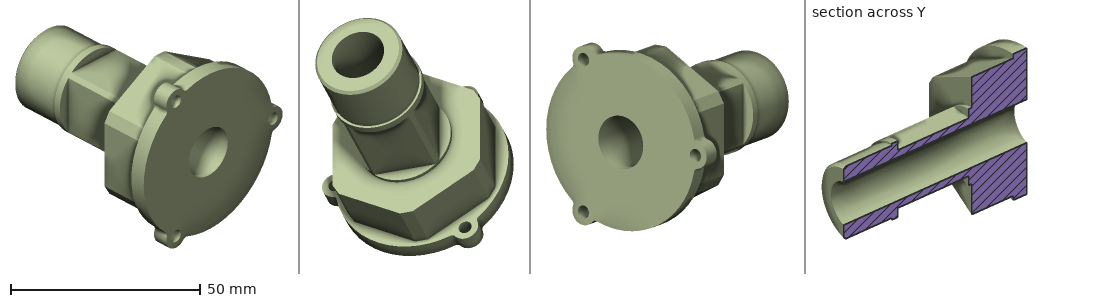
import cadquery as cq
import math

collar_start = 16.0
shank_start = 18.05
shank_end = 41.55
nut_start = 42.65
flange_start = 56.35
total_length = 61.0

bore_diameter = 14.45
spigot_diameter = 24.1
spigot_chamfer = 0.75
collar_diameter = 25.3
shank_across_flats = 19.05

nut_across_flats = 40.75
nut_across_corners = nut_across_flats / math.cos(math.radians(30))
nut_across_corner_cuts = 45.0

flange_diameter = 48.0
eyelet_count = 3
eyelet_diameter = 7.2
eyelet_hole_diameter = 3.6
eyelet_fillet = 1.2


def station(x):
    """Cross-section plane at x, with local axes Y and Z."""
    return cq.Workplane("YZ", origin=(x, 0, 0))


def cylinder(start, end, diameter):
    return station(start).circle(diameter / 2).extrude(end - start)


def make_spigot():
    return cylinder(0, collar_start, spigot_diameter).faces("<X").chamfer(spigot_chamfer)


def make_squared_shank():
    """Collar-sized round bar cut to a square with rounded corners between two collars."""
    square = station(shank_start).rect(shank_across_flats, shank_across_flats)
    square = square.extrude(shank_end - shank_start)
    shank = cylinder(shank_start, shank_end, collar_diameter).intersect(square)
    front_collar = cylinder(collar_start, shank_start, collar_diameter)
    rear_collar = cylinder(shank_end, nut_start, collar_diameter)
    return front_collar.union(shank).union(rear_collar)


def hexagon(across_corners, corner_angle):
    """Hexagonal prism of the nut's length; corner_angle is measured from +Y."""
    prism = station(nut_start).polygon(6, across_corners).extrude(flange_start - nut_start)
    return prism.rotate((0, 0, 0), (1, 0, 0), corner_angle)


def make_nut():
    corner_cutter = hexagon(nut_across_corner_cuts / math.cos(math.radians(30)), 0)
    return hexagon(nut_across_corners, 30).intersect(corner_cutter)


def make_flange():
    thickness = total_length - flange_start
    eyelets = station(flange_start).polarArray(flange_diameter / 2, 0, 360, eyelet_count)
    eyelets = eyelets.circle(eyelet_diameter / 2).extrude(thickness)
    flange = cylinder(flange_start, total_length, flange_diameter).union(eyelets)

    rim_radius = flange_diameter / 2
    half_angle = 2 * math.asin(eyelet_diameter / 2 / flange_diameter)
    mid_x = (flange_start + total_length) / 2
    for index in range(eyelet_count):
        for side in (-1, 1):
            angle = index * 2 * math.pi / eyelet_count + side * half_angle
            corner = (mid_x, rim_radius * math.cos(angle), rim_radius * math.sin(angle))
            flange = flange.edges(cq.selectors.NearestToPointSelector(corner)).fillet(eyelet_fillet)

    holes = station(flange_start).polarArray(flange_diameter / 2, 0, 360, eyelet_count)
    holes = holes.circle(eyelet_hole_diameter / 2).extrude(thickness)
    return flange.cut(holes)


body = make_spigot().union(make_squared_shank()).union(make_nut()).union(make_flange())
result = body.cut(cylinder(0, total_length, bore_diameter))